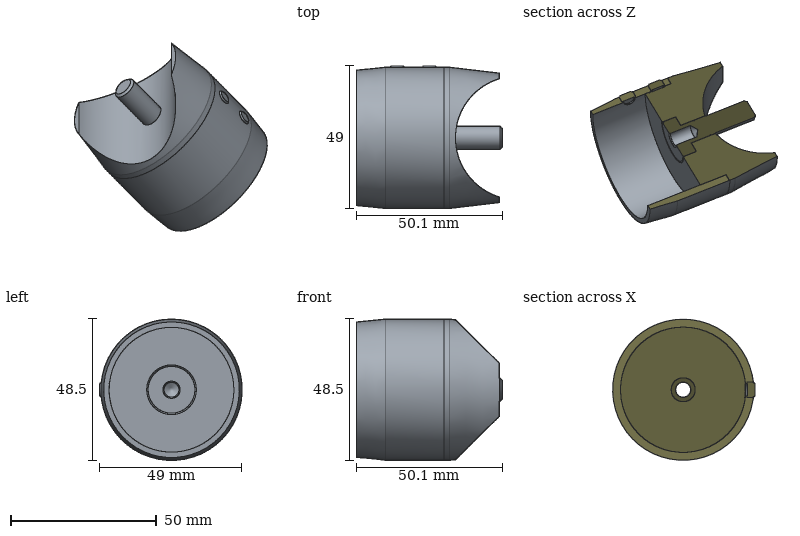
import cadquery as cq
import math

OVERALL_LENGTH = 50.1

OUTER_RADIUS = 24.25
BORE_RADIUS = 21.4
MOUTH_RADIUS = 23.25
MOUTH_TAPER_LENGTH = 10.0
SLEEVE_LENGTH = 30.0

PLUG_LENGTH = 10.0
COLLAR_LENGTH = 2.0
NOSE_END_X = 49.1
NOSE_END_RADIUS = 22.25
SADDLE_BOTTOM_X = 34.0
SADDLE_RADIUS = 21.2

HEAD_RADIUS = 8.0
HEAD_LENGTH = 5.0
HEAD_SEAT_CHAMFER = 0.5
SHANK_RADIUS = 4.0
SHANK_TIP_CHAMFER = 0.8
PILOT_RADIUS = 2.55
PILOT_MOUTH_RADIUS = 2.95
PILOT_DEPTH = 8.0
DRILL_POINT_ANGLE = 118.0

SCREW_POSITIONS_X = (14.05, 25.05)
SCREW_RADIUS = 2.5
SCREW_CHAMFER = 0.5
SCREW_PROTRUSION = 0.45
SCREW_SEAT_DEPTH = 0.5
SCREW_SEAT_HOLE_RADIUS = 2.1

plug_start_x = SLEEVE_LENGTH - PLUG_LENGTH
collar_end_x = SLEEVE_LENGTH + COLLAR_LENGTH
head_end_x = plug_start_x + HEAD_LENGTH
screw_inner_y = BORE_RADIUS + SCREW_SEAT_DEPTH
screw_length = OUTER_RADIUS + SCREW_PROTRUSION - screw_inner_y


def turned(profile):
    """Revolve an (x, radius) outline about the X axis."""
    return cq.Workplane("XZ").polyline(profile).close().revolve(360, (0, 0, 0), (1, 0, 0))


def radial_cylinder(x, start_y, radius, length):
    """Cylinder at x that runs in the +Y direction from start_y."""
    plane = cq.Plane(origin=(x, start_y, 0), xDir=(1, 0, 0), normal=(0, 1, 0))
    return cq.Workplane(plane).circle(radius).extrude(length)


def make_sleeve():
    sleeve = turned([
        (0, BORE_RADIUS),
        (0, MOUTH_RADIUS),
        (MOUTH_TAPER_LENGTH, OUTER_RADIUS),
        (SLEEVE_LENGTH, OUTER_RADIUS),
        (SLEEVE_LENGTH, BORE_RADIUS),
    ])
    for x in SCREW_POSITIONS_X:
        sleeve = sleeve.cut(radial_cylinder(x, screw_inner_y, SCREW_RADIUS, screw_length))
        sleeve = sleeve.cut(radial_cylinder(x, 0, SCREW_SEAT_HOLE_RADIUS, OUTER_RADIUS))
    return sleeve


def make_saddle():
    saddle = turned([
        (plug_start_x, 0),
        (plug_start_x, BORE_RADIUS),
        (SLEEVE_LENGTH, BORE_RADIUS),
        (SLEEVE_LENGTH, OUTER_RADIUS),
        (collar_end_x, OUTER_RADIUS),
        (NOSE_END_X, NOSE_END_RADIUS),
        (NOSE_END_X, 0),
    ])
    rail = (
        cq.Workplane("XY")
        .center(SADDLE_BOTTOM_X + SADDLE_RADIUS, 0)
        .circle(SADDLE_RADIUS)
        .extrude(OUTER_RADIUS, both=True)
    )
    stud_hole = turned([
        (plug_start_x, 0),
        (plug_start_x, HEAD_RADIUS + HEAD_SEAT_CHAMFER),
        (plug_start_x + HEAD_SEAT_CHAMFER, HEAD_RADIUS),
        (head_end_x, HEAD_RADIUS),
        (head_end_x, SHANK_RADIUS),
        (NOSE_END_X, SHANK_RADIUS),
        (NOSE_END_X, 0),
    ])
    return saddle.cut(rail).cut(stud_hole)


def make_stud():
    pilot_end_x = plug_start_x + PILOT_DEPTH
    drill_point_length = PILOT_RADIUS / math.tan(math.radians(DRILL_POINT_ANGLE / 2))
    mouth_chamfer = PILOT_MOUTH_RADIUS - PILOT_RADIUS
    return turned([
        (plug_start_x, PILOT_MOUTH_RADIUS),
        (plug_start_x, HEAD_RADIUS),
        (head_end_x, HEAD_RADIUS),
        (head_end_x, SHANK_RADIUS),
        (OVERALL_LENGTH - SHANK_TIP_CHAMFER, SHANK_RADIUS),
        (OVERALL_LENGTH, SHANK_RADIUS - SHANK_TIP_CHAMFER),
        (OVERALL_LENGTH, 0),
        (pilot_end_x + drill_point_length, 0),
        (pilot_end_x, PILOT_RADIUS),
        (plug_start_x + mouth_chamfer, PILOT_RADIUS),
    ])


def make_set_screw(x):
    screw = radial_cylinder(x, screw_inner_y, SCREW_RADIUS, screw_length)
    return screw.faces(">Y").chamfer(SCREW_CHAMFER)


sleeve = make_sleeve()
saddle = make_saddle()
stud = make_stud()
set_screws = [make_set_screw(x) for x in SCREW_POSITIONS_X]

result = cq.Compound.makeCompound([
    sleeve.val(),
    saddle.val(),
    stud.val(),
    *[screw.val() for screw in set_screws],
])